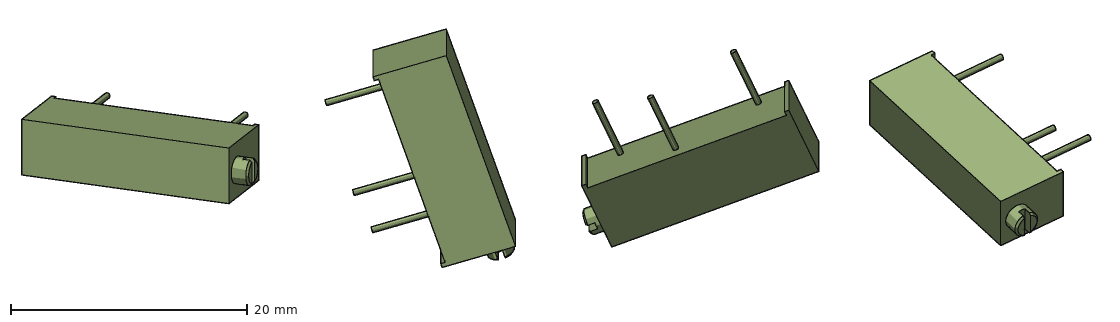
import cadquery as cq

overall_length = 20.57
overall_depth = 11.66
housing_height = 5.0
housing_length = 19.05
housing_depth = 6.55
mid_height = housing_height / 2

lip_thickness = 0.4
lip_height = 0.4

pin_diameter = 0.53
first_pin_x = 2.95
middle_pin_x = first_pin_x + 7.61
last_pin_x = middle_pin_x + 5.08
pin_row_offset = 1.28

screw_diameter = 2.37
screw_y = 1.7
screw_chamfer = 0.19
slot_width = 0.64
slot_depth = 0.82


def make_housing():
    """Block with a full-height recess between its two end lips."""
    block = cq.Workplane("XY").box(housing_length, housing_depth, housing_height, centered=False)
    recess = (
        cq.Workplane("XY")
        .box(housing_length - 2 * lip_thickness, lip_height, housing_height, centered=False)
        .translate((lip_thickness, housing_depth - lip_height, 0))
    )
    return block.cut(recess)


def make_pin(x, z):
    """Round pin running from the recess floor along +Y."""
    pin_face_y = housing_depth - lip_height
    pin_length = overall_depth - pin_face_y
    return (
        cq.Workplane("XZ", origin=(x, pin_face_y, z))
        .circle(pin_diameter / 2)
        .extrude(-pin_length)
    )


def make_screw():
    """Chamfered screw head on the +X end with a slot along Z."""
    head = (
        cq.Workplane("YZ", origin=(housing_length, screw_y, mid_height))
        .circle(screw_diameter / 2)
        .extrude(overall_length - housing_length)
        .faces(">X")
        .chamfer(screw_chamfer)
    )
    slot = cq.Workplane("XY").box(slot_depth, slot_width, screw_diameter).translate(
        (overall_length - slot_depth / 2, screw_y, mid_height)
    )
    return head.cut(slot)


result = make_housing().union(make_screw())
for pin_x, row_offset in (
    (first_pin_x, pin_row_offset),
    (middle_pin_x, -pin_row_offset),
    (last_pin_x, pin_row_offset),
):
    result = result.union(make_pin(pin_x, mid_height + row_offset))